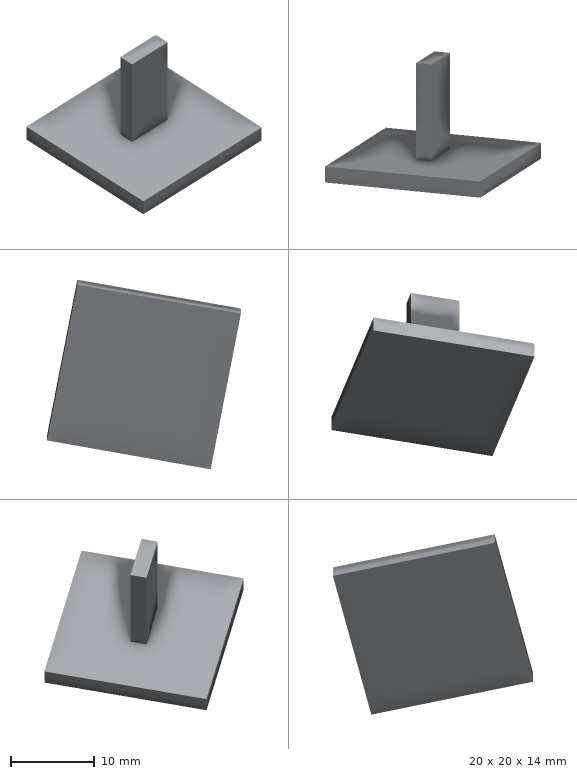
import cadquery as cq

plate_side = 20
plate_thickness = 2
tab_thickness = 2
tab_width = 6
total_height = 14

tab_height = total_height - plate_thickness

plate = cq.Workplane("XY").box(plate_side, plate_side, plate_thickness, centered=(True, True, False))

tab = (
    cq.Workplane("XY", origin=(0, 0, plate_thickness))
    .box(tab_thickness, tab_width, tab_height, centered=(True, True, False))
)

result = plate.union(tab)